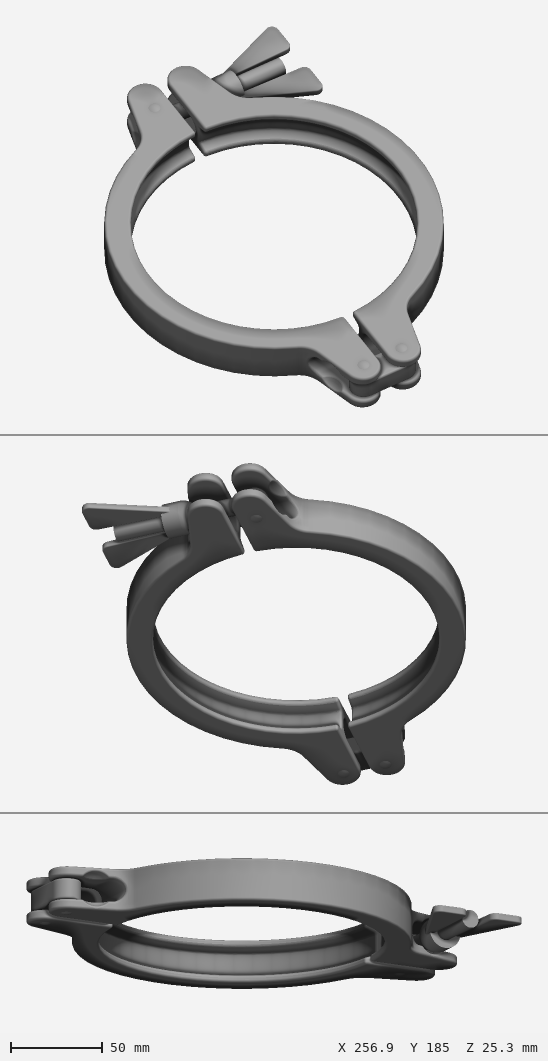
import cadquery as cq
import math

jaw_height = 24.0
ring_outer_radius = 92.5
ring_inner_radius = 78.0
half_gap = 2.75
ear_radius = 10.0
ear_center_x = 115.0
ear_center_y = half_gap + ear_radius
ear_slope = math.radians(15.0)
neck_radius = 15.0
edge_radius = 1.5

groove_wall_radius = 84.5
groove_mouth_half = 8.3
groove_floor_half = 6.0

slot_half_width = 6.4
slot_end_x = 88.5

bolt_x = 105.0
seat_center_y = 29.0
seat_radius = 10.5
seat_edge_radius = 1.0

tolerance = 1e-3

pin_radius = 3.25
pin_dome = 0.65
hinge_x = ear_center_x
hinge_y = 12.0
link_end_radius = 8.0
link_half_height = 6.0
link_edge_radius = 1.2

bolt_pin_y = -13.0
bolt_radius = 5.0
bolt_end_y = 67.6
ball_y = -12.0
ball_radius = 8.0
ball_half_height = 6.2
nut_radius = 9.5
nut_tip_radius = 6.6
nut_top_y = 38.7
wing_thickness = 4.0
wing_top_y = 79.3
wing_root_y = 31.5
wing_span_half = 26.93
wing_slope = 0.43
wing_inner_top = 7.6
wing_inner_root = 6.3
wing_corner_radius = 4.0
wing_edge_radius = 0.7


def jaw_outline():
    """Half ring with an ear at each end, on the +Y side."""
    sin_s = math.sin(ear_slope)
    cos_s = math.cos(ear_slope)
    line_offset = ear_center_x * sin_s + ear_center_y * cos_s + ear_radius
    blend_center_radius = ring_outer_radius + neck_radius
    blend_angle = math.pi / 2 - ear_slope - math.acos((line_offset + neck_radius) / blend_center_radius)
    blend_x = blend_center_radius * math.cos(blend_angle)
    blend_y = blend_center_radius * math.sin(blend_angle)
    ring_tangent = (ring_outer_radius * math.cos(blend_angle), ring_outer_radius * math.sin(blend_angle))
    neck_tangent = (blend_x - neck_radius * sin_s, blend_y - neck_radius * cos_s)
    neck_mid_angle = (blend_angle + math.pi / 2 - ear_slope) / 2
    neck_mid = (
        blend_x - neck_radius * math.cos(neck_mid_angle),
        blend_y - neck_radius * math.sin(neck_mid_angle),
    )
    ear_tangent = (ear_center_x + ear_radius * sin_s, ear_center_y + ear_radius * cos_s)
    ear_tip = (ear_center_x + ear_radius, ear_center_y)
    ear_base = (ear_center_x, half_gap)
    bore_corner = (math.sqrt(ring_inner_radius**2 - half_gap**2), half_gap)

    def mirrored(point):
        return (-point[0], point[1])

    return (
        cq.Workplane("XY", origin=(0, 0, -jaw_height / 2))
        .moveTo(*bore_corner)
        .lineTo(*ear_base)
        .threePointArc(ear_tip, ear_tangent)
        .lineTo(*neck_tangent)
        .threePointArc(neck_mid, ring_tangent)
        .threePointArc((0, ring_outer_radius), mirrored(ring_tangent))
        .threePointArc(mirrored(neck_mid), mirrored(neck_tangent))
        .lineTo(*mirrored(ear_tangent))
        .threePointArc(mirrored(ear_tip), mirrored(ear_base))
        .lineTo(*mirrored(bore_corner))
        .threePointArc((0, ring_inner_radius), bore_corner)
        .close()
    )


def ear_slot(side):
    """Round-ended slot running in Y through the ear on the given side."""
    length = 2 * (ear_center_x - slot_end_x)
    return (
        cq.Workplane("XZ")
        .center(side * (slot_end_x + length / 2), 0)
        .slot2D(length, 2 * slot_half_width)
        .extrude(-ring_outer_radius)
    )


def is_rounded(edge):
    """True for every edge except the seams where faces meet smoothly."""
    direction = edge.tangentAt(0)
    is_line = edge.geomType() == "LINE"
    along_z = is_line and abs(direction.z) > 1 - tolerance
    along_y = is_line and abs(direction.y) > 1 - tolerance
    start = edge.startPoint()
    at_bore_corner = abs(start.y - half_gap) < tolerance and abs(start.x) < slot_end_x
    slot_seam = along_y
    outline_seam = along_z and not at_bore_corner
    return not (slot_seam or outline_seam)


def flange_groove():
    return (
        cq.Workplane("XZ")
        .polyline([
            (0, -groove_mouth_half),
            (ring_inner_radius, -groove_mouth_half),
            (groove_wall_radius, -groove_floor_half),
            (groove_wall_radius, groove_floor_half),
            (ring_inner_radius, groove_mouth_half),
            (0, groove_mouth_half),
        ])
        .close()
        .revolve(360, (0, 0, 0), (0, 1, 0))
    )


def jaw_blank():
    blank = jaw_outline().extrude(jaw_height)
    for side in (-1, 1):
        blank = blank.cut(ear_slot(side))
    blank = blank.cut(flange_groove())
    rounded_edges = [edge for edge in blank.edges().vals() if is_rounded(edge)]
    blank = cq.Workplane(blank.newObject(rounded_edges).fillet(edge_radius).val())
    for side in (-1, 1):
        blank = blank.cut(cq.Workplane("XY").sphere(seat_radius).translate((side * bolt_x, seat_center_y, 0)))
    seat_faces = [face for face in blank.faces("%SPHERE").vals() if abs(face.Center().x) > ring_outer_radius]
    return blank.newObject(seat_faces).edges().fillet(seat_edge_radius)


def domed_pin(x, y):
    """Pin along Z through both ear legs, with a shallow dome at each end."""
    half = jaw_height / 2
    dome_radius = (pin_radius**2 + pin_dome**2) / (2 * pin_dome)
    mid_radius = pin_radius / 2
    mid_z = half + pin_dome - dome_radius + math.sqrt(dome_radius**2 - mid_radius**2)
    return (
        cq.Workplane("XZ")
        .moveTo(0, -half - pin_dome)
        .threePointArc((mid_radius, -mid_z), (pin_radius, -half))
        .lineTo(pin_radius, half)
        .threePointArc((mid_radius, mid_z), (0, half + pin_dome))
        .close()
        .revolve(360, (0, 0, 0), (0, 1, 0))
        .translate((x, y, 0))
    )


def hinge_link():
    return (
        cq.Workplane("XY", origin=(hinge_x, 0, -link_half_height))
        .slot2D(2 * (hinge_y + link_end_radius), 2 * link_end_radius, 90)
        .extrude(2 * link_half_height)
        .faces("|Z").edges().fillet(link_edge_radius)
    )


def wing(side):
    corner_overhang = wing_corner_radius * (wing_slope + math.sqrt(1 + wing_slope**2) - 1)
    outer_sharp_top = wing_span_half + corner_overhang
    outer_root = outer_sharp_top - wing_slope * (wing_top_y - wing_root_y)
    plate = (
        cq.Workplane("XY", origin=(0, 0, -wing_thickness / 2))
        .polyline([
            (side * wing_inner_root, wing_root_y),
            (side * outer_root, wing_root_y),
            (side * outer_sharp_top, wing_top_y),
            (side * wing_inner_top, wing_top_y),
        ])
        .close()
        .extrude(wing_thickness)
        .edges("|Z and >Y").fillet(wing_corner_radius)
    )
    return plate.faces("|Z").edges().fillet(wing_edge_radius)


def nut_hub():
    """Round hub whose lower end is part of a sphere."""
    tip_y = seat_center_y - math.sqrt(nut_radius**2 - nut_tip_radius**2)
    mid_angle = math.acos(nut_tip_radius / nut_radius) / 2
    mid = (nut_radius * math.cos(mid_angle), seat_center_y - nut_radius * math.sin(mid_angle))
    return (
        cq.Workplane("XY")
        .moveTo(0, tip_y)
        .lineTo(nut_tip_radius, tip_y)
        .threePointArc(mid, (nut_radius, seat_center_y))
        .lineTo(nut_radius, nut_top_y)
        .lineTo(0, nut_top_y)
        .close()
        .revolve(360, (0, 0, 0), (0, 1, 0))
    )


def swing_bolt(bolt_pin):
    """Ball-ended bolt with its pivot pin and the wing nut."""
    shank = cq.Workplane("XZ", origin=(0, ball_y, 0)).circle(bolt_radius).extrude(ball_y - bolt_end_y)
    flat_box = cq.Workplane("XY").box(4 * ball_radius, 4 * ball_radius, 2 * ball_half_height)
    ball = cq.Workplane("XY").sphere(ball_radius).intersect(flat_box).translate((0, ball_y, 0))
    bolt = shank.union(ball).union(nut_hub())
    for side in (-1, 1):
        bolt = bolt.union(wing(side))
    return bolt.translate((-bolt_x, 0, 0)).union(bolt_pin)


blank = jaw_blank()
upper_hinge_pin = domed_pin(hinge_x, hinge_y)
lower_hinge_pin = domed_pin(hinge_x, -hinge_y)
bolt_pin = domed_pin(-bolt_x, bolt_pin_y)
bolt = swing_bolt(bolt_pin)

upper_jaw = blank.cut(upper_hinge_pin)
lower_jaw = blank.mirror("XZ").cut(bolt_pin)
for joined in (hinge_link(), lower_hinge_pin, upper_hinge_pin):
    lower_jaw = lower_jaw.union(joined)

result = cq.Compound.makeCompound([
    *upper_jaw.solids().vals(),
    *lower_jaw.solids().vals(),
    *bolt.solids().vals(),
])